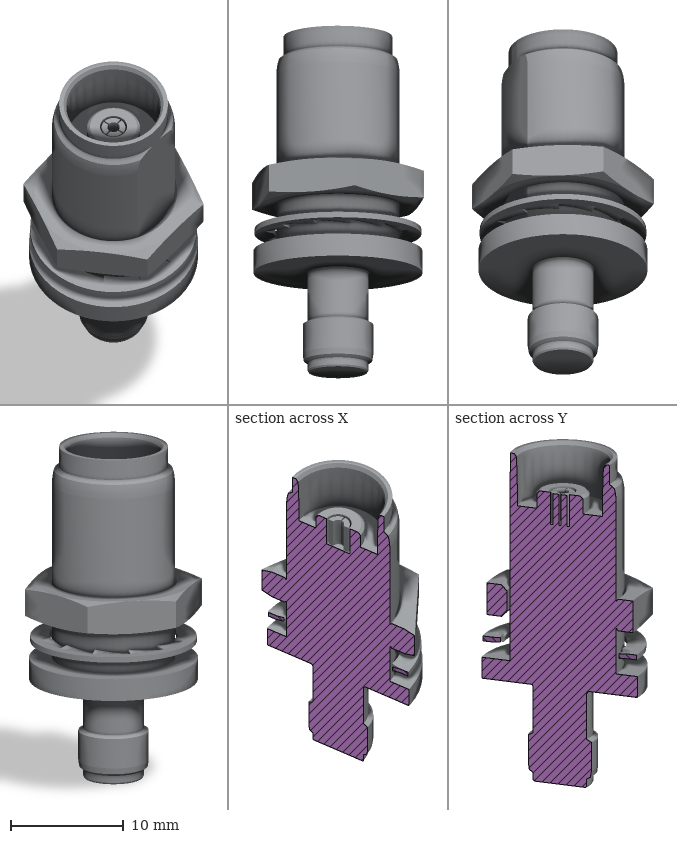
import cadquery as cq
import math

tip_chamfer_top = 0.15
barrel_nose_bottom = 0.8
barrel_nose_top = 1.05
barrel_bottom = 1.6
barrel_top = 4.3
barrel_neck = 4.55
flange_bottom = 9.0
flange_top = 11.0
shoulder_bottom = 27.0
shoulder_edge = 28.27
shoulder_top = 28.6
connector_top = 30.4

stem_radius = 2.7
tip_radius = 2.6
barrel_radius = 3.13
barrel_nose_radius = 3.05
flange_radius = 7.5
thread_radius = 5.47
shoulder_edge_radius = 5.28
shoulder_bulge_radius = 5.42
rim_radius = 4.83
stem_flare = 0.1
stem_flare_height = 0.2

flat_x = 4.8

socket_mouth_radius = 4.43
socket_lead_in_radius = 4.2
socket_lead_in_depth = 0.35
socket_floor_radius = 4.11
socket_depth = 4.85
socket_floor_z = connector_top - socket_depth

boss_recess = 3.2
boss_top_z = connector_top - boss_recess
boss_radius = 2.37
boss_chamfer = 0.28
boss_bore_radius = 1.2
boss_bore_depth = 3.0
boss_bore_bottom = boss_top_z - boss_bore_depth

contact_radius = 1.05
contact_recess = 0.1
contact_hole_radius = 0.55
contact_slot_width = 0.13

nut_across_flats = 14.0
nut_bottom = 15.0
nut_height = 3.0
nut_hole_radius = 5.11
nut_countersink_radius = 5.65
nut_chamfer_angle = math.radians(15)
nut_sides = 6

washer_bottom = 12.5
washer_thickness = 0.5
washer_radius = 7.4
tooth_root_radius = 6.5
tooth_tip_radius = 5.7
tooth_count = 12
tooth_rise = 0.17


def revolve_profile(profile):
    """Turn a closed radius-height profile around the Z axis."""
    return profile.close().revolve(360, (0, 0, 0), (0, 1, 0))


def cylinder(radius, bottom, height):
    return cq.Workplane("XY").workplane(offset=bottom).circle(radius).extrude(height)


def make_shell():
    """Stem, barrel, flange and sleeve as one turned shape."""
    bulge_z = (shoulder_bottom + shoulder_edge) / 2
    profile = (
        cq.Workplane("XZ")
        .moveTo(0, 0)
        .lineTo(tip_radius, 0)
        .lineTo(stem_radius, tip_chamfer_top)
        .lineTo(stem_radius, barrel_nose_bottom)
        .lineTo(barrel_nose_radius, barrel_nose_top)
        .lineTo(barrel_radius, barrel_bottom)
        .lineTo(barrel_radius, barrel_top)
        .lineTo(stem_radius, barrel_neck)
        .lineTo(stem_radius, flange_bottom - stem_flare_height)
        .lineTo(stem_radius + stem_flare, flange_bottom)
        .lineTo(flange_radius, flange_bottom)
        .lineTo(flange_radius, flange_top)
        .lineTo(thread_radius, flange_top)
        .lineTo(thread_radius, shoulder_bottom)
        .threePointArc((shoulder_bulge_radius, bulge_z), (shoulder_edge_radius, shoulder_edge))
        .lineTo(rim_radius, shoulder_top)
        .lineTo(rim_radius, connector_top)
        .lineTo(0, connector_top)
    )
    return revolve_profile(profile)


def make_socket():
    """Tapered bore with a lead-in at its mouth."""
    lead_in_z = connector_top - socket_lead_in_depth
    profile = (
        cq.Workplane("XZ")
        .moveTo(0, socket_floor_z)
        .lineTo(socket_floor_radius, socket_floor_z)
        .lineTo(socket_lead_in_radius, lead_in_z)
        .lineTo(socket_mouth_radius, connector_top)
        .lineTo(0, connector_top)
    )
    return revolve_profile(profile)


def make_flat():
    """Material removed from the +X side of the sleeve."""
    depth = thread_radius - flat_x
    return (
        cq.Workplane("XY")
        .workplane(offset=flange_top)
        .center(flat_x + depth / 2, 0)
        .rect(depth, 2 * thread_radius)
        .extrude(connector_top - flange_top)
    )


def make_boss():
    boss = cylinder(boss_radius, socket_floor_z, boss_top_z - socket_floor_z)
    return boss.faces(">Z").chamfer(boss_chamfer)


def make_contact():
    """Hollow pin split by two crossing slots."""
    bottom = boss_bore_bottom
    height = boss_bore_depth - contact_recess
    contact = cylinder(contact_radius, bottom, height)
    contact = contact.cut(cylinder(contact_hole_radius, bottom, height))
    for angle in (0, 90):
        slot = (
            cq.Workplane("XY")
            .workplane(offset=bottom)
            .rect(2 * contact_radius, contact_slot_width)
            .extrude(height)
            .rotate((0, 0, 0), (0, 0, 1), angle)
        )
        contact = contact.cut(slot)
    return contact


def make_nut():
    """Hex nut with chamfered corners and a countersunk hole."""
    corner_radius = nut_across_flats / 2 / math.cos(math.pi / nut_sides)
    nut_top = nut_bottom + nut_height
    hexagon = (
        cq.Workplane("XY")
        .workplane(offset=nut_bottom)
        .polygon(nut_sides, 2 * corner_radius)
        .extrude(nut_height)
        .rotate((0, 0, 0), (0, 0, 1), 180 / nut_sides)
    )
    face_radius = nut_across_flats / 2
    corner_drop = (corner_radius - face_radius) * math.tan(nut_chamfer_angle)
    countersink = nut_countersink_radius - nut_hole_radius
    envelope = (
        cq.Workplane("XZ")
        .moveTo(nut_countersink_radius, nut_bottom)
        .lineTo(face_radius, nut_bottom)
        .lineTo(corner_radius, nut_bottom + corner_drop)
        .lineTo(corner_radius, nut_top - corner_drop)
        .lineTo(face_radius, nut_top)
        .lineTo(nut_countersink_radius, nut_top)
        .lineTo(nut_hole_radius, nut_top - countersink)
        .lineTo(nut_hole_radius, nut_bottom + countersink)
    )
    return hexagon.intersect(revolve_profile(envelope))


def make_connector():
    """Turned connector with its nut seized on the thread."""
    connector = make_shell().cut(make_flat()).cut(make_socket())
    connector = connector.union(make_boss())
    connector = connector.cut(cylinder(boss_bore_radius, boss_bore_bottom, boss_bore_depth))
    return connector.union(make_contact()).union(make_nut())


def tooth_arc(radius, height, rise):
    """Arc over one tooth pitch that starts high by `rise` and ends low by it."""
    half_pitch = math.pi / tooth_count
    across = radius * math.sin(half_pitch)
    along = radius * math.cos(half_pitch)
    return cq.Edge.makeThreePointArc(
        cq.Vector(along, -across, height + rise),
        cq.Vector(radius, 0, height),
        cq.Vector(along, across, height - rise),
    )


def make_tooth():
    """Inward tooth, level at its root and twisted toward its tip."""
    washer_top = washer_bottom + washer_thickness
    tip_low = tooth_arc(tooth_tip_radius, washer_bottom, tooth_rise)
    tip_high = tooth_arc(tooth_tip_radius, washer_top, tooth_rise)
    root_low = tooth_arc(tooth_root_radius, washer_bottom, 0)
    root_high = tooth_arc(tooth_root_radius, washer_top, 0)
    loop = (tip_low, root_low, root_high, tip_high)
    faces = []
    for index, edge in enumerate(loop):
        faces.append(cq.Face.makeRuledSurface(edge, loop[(index + 1) % len(loop)]))
    for end in (cq.Edge.startPoint, cq.Edge.endPoint):
        corners = [end(edge) for edge in loop]
        faces.append(cq.Face.makeFromWires(cq.Wire.makePolygon(corners, close=True)))
    tooth = cq.Solid.makeSolid(cq.Shell.makeShell(faces))
    return cq.Workplane(tooth)


def make_washer():
    washer = cylinder(washer_radius, washer_bottom, washer_thickness)
    washer = washer.cut(cylinder(tooth_root_radius, washer_bottom, washer_thickness))
    pitch = 360 / tooth_count
    for index in range(tooth_count):
        angle = (index + 0.5) * pitch
        washer = washer.union(make_tooth().rotate((0, 0, 0), (0, 0, 1), angle))
    return washer


connector = make_connector()
washer = make_washer()

result = cq.Compound.makeCompound([connector.solids().val(), washer.solids().val()])